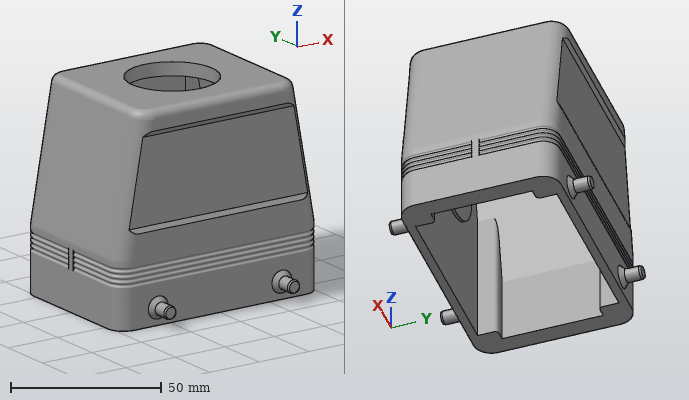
import cadquery as cq
import math

LENGTH = 82.0
WIDTH = 56.1
HEIGHT = 75.0
SHOULDER_Z = 24.3
END_TAPER = 10.0
SHOULDER_MARGIN = 0.8
SHOULDER_RADIUS = 6.0
CORNER_RADIUS = 6.4
TOP_RADIUS = 3.0
TAPER_SLOPE = math.tan(math.radians(END_TAPER))

RECESS_DEPTH = 1.0
RECESS_BOTTOM_Z = 33.4
RECESS_TOP_Z = 68.15
RECESS_RAMP = 1.7

WAVE_COUNT = 4
WAVE_PITCH = 1.8
WAVE_DEPTH = 0.5
BAND_BOTTOM_Z = 14.9
BAND_GAP = 2.7
BAND_CLEARANCE = 0.8

PIN_SPACING = 49.9
PIN_Z = 6.2
PIN_DIAMETER = 4.75
PIN_SPAN = 71.0
PIN_COLLAR = 1.6
PIN_TIP_LENGTH = 0.7
PIN_TIP_INSET = 0.3
PIN_ROOT = 0.8

ENTRY_DIAMETER = 32.15
ROOF = 4.9
SIDE_WALL = 3.0
END_WALL = 6.4
POST_INNER_X = 30.25
POST_WIDTH = 7.1
POST_RADIUS = 1.5
PAD_HALF_LENGTH = 21.8
PAD_BOTTOM_Z = 34.4
PAD_CORNER_RADIUS = 15.6

CAVITY_WIDTH = WIDTH - 2 * SIDE_WALL
CAVITY_HEIGHT = HEIGHT - ROOF

ARC_MIDDLE = 1 - math.sqrt(0.5)


def end_wall_x(base_x, z):
    """X of a leaning end wall that stands at base_x below the shoulder."""
    return base_x - (z - SHOULDER_Z) * TAPER_SLOPE


def tapered_block(half_length, width, height):
    """Block upright to the shoulder, then leaning inwards at both ends."""
    top_x = end_wall_x(half_length, height)
    outline = [
        (-half_length, 0),
        (half_length, 0),
        (half_length, SHOULDER_Z),
        (top_x, height),
        (-top_x, height),
        (-half_length, SHOULDER_Z),
    ]
    return cq.Workplane("XZ").polyline(outline).close().extrude(width / 2, both=True)


def outer_body():
    body = tapered_block(LENGTH / 2, WIDTH, HEIGHT)
    shoulder = cq.selectors.BoxSelector(
        (-LENGTH, -WIDTH, SHOULDER_Z - SHOULDER_MARGIN), (LENGTH, WIDTH, SHOULDER_Z + SHOULDER_MARGIN)
    )
    body = body.edges("|Y").edges(shoulder).fillet(SHOULDER_RADIUS)
    body = body.faces("<Y or >Y").edges("not(<Z or >Z)").fillet(CORNER_RADIUS)
    return body.faces(">Z").edges().fillet(TOP_RADIUS)


def side_recess():
    """Cutter for the recess on the -Y side, running the full length."""
    face_y = -WIDTH / 2
    floor_y = face_y + RECESS_DEPTH
    outline = [
        (face_y, RECESS_BOTTOM_Z),
        (floor_y, RECESS_BOTTOM_Z + RECESS_RAMP),
        (floor_y, RECESS_TOP_Z - RECESS_RAMP),
        (face_y, RECESS_TOP_Z),
    ]
    return cq.Workplane("YZ").polyline(outline).close().extrude(LENGTH / 2, both=True)


def grip_band():
    """Wavy cutter around the -Y half, from one end-wall gap to the other."""
    end_x = LENGTH / 2
    side_y = WIDTH / 2
    gap_y = BAND_GAP / 2
    bend = CORNER_RADIUS * ARC_MIDDLE
    path = (
        cq.Workplane("XY")
        .workplane(offset=BAND_BOTTOM_Z)
        .moveTo(-end_x, -gap_y)
        .lineTo(-end_x, CORNER_RADIUS - side_y)
        .threePointArc((bend - end_x, bend - side_y), (CORNER_RADIUS - end_x, -side_y))
        .lineTo(end_x - CORNER_RADIUS, -side_y)
        .threePointArc((end_x - bend, bend - side_y), (end_x, CORNER_RADIUS - side_y))
        .lineTo(end_x, -gap_y)
    )

    half_pitch = WAVE_PITCH / 2
    mid_x = -end_x + WAVE_DEPTH / 2
    arc_radius = (half_pitch**2 / 4 + (WAVE_DEPTH / 2) ** 2) / WAVE_DEPTH
    quarter_z = half_pitch / 4
    quarter_depth = arc_radius - math.sqrt(arc_radius**2 - quarter_z**2)
    band_top = BAND_BOTTOM_Z + WAVE_COUNT * WAVE_PITCH
    z = BAND_BOTTOM_Z + half_pitch / 2
    profile = (
        cq.Workplane("XZ", origin=(0, -gap_y, 0))
        .moveTo(-end_x - BAND_CLEARANCE, BAND_BOTTOM_Z)
        .lineTo(-end_x, BAND_BOTTOM_Z)
        .threePointArc((-end_x + quarter_depth, BAND_BOTTOM_Z + quarter_z), (mid_x, z))
    )
    for index in range(2 * WAVE_COUNT - 1):
        crest_x = -end_x if index % 2 else -end_x + WAVE_DEPTH
        profile = profile.threePointArc((crest_x, z + half_pitch / 2), (mid_x, z + half_pitch))
        z += half_pitch
    profile = (
        profile.threePointArc((-end_x + quarter_depth, band_top - quarter_z), (-end_x, band_top))
        .lineTo(-end_x - BAND_CLEARANCE, band_top)
        .close()
    )
    return profile.sweep(path)


def locking_pin():
    """Pin pointing along -Y, with a conical collar and a tapered tip."""
    radius = PIN_DIAMETER / 2
    face = WIDTH / 2
    tip = PIN_SPAN / 2
    half_section = [
        (0, PIN_ROOT - face),
        (radius + PIN_COLLAR, PIN_ROOT - face),
        (radius + PIN_COLLAR, -face),
        (radius, -face - PIN_COLLAR),
        (radius, PIN_TIP_LENGTH - tip),
        (radius - PIN_TIP_INSET, -tip),
        (0, -tip),
    ]
    pin = cq.Workplane("XY").polyline(half_section).close()
    return pin.revolve(360, (0, 0, 0), (0, 1, 0)).translate((0, 0, PIN_Z))


def side_pad():
    """Thickening of the -Y wall behind its recess, rounded at the lower corners."""
    bend = PAD_CORNER_RADIUS * ARC_MIDDLE
    pad = (
        cq.Workplane("XZ", origin=(0, -CAVITY_WIDTH / 2, 0))
        .moveTo(-PAD_HALF_LENGTH, CAVITY_HEIGHT)
        .lineTo(-PAD_HALF_LENGTH, PAD_BOTTOM_Z + PAD_CORNER_RADIUS)
        .threePointArc(
            (bend - PAD_HALF_LENGTH, PAD_BOTTOM_Z + bend),
            (PAD_CORNER_RADIUS - PAD_HALF_LENGTH, PAD_BOTTOM_Z),
        )
        .lineTo(PAD_HALF_LENGTH - PAD_CORNER_RADIUS, PAD_BOTTOM_Z)
        .threePointArc(
            (PAD_HALF_LENGTH - bend, PAD_BOTTOM_Z + bend),
            (PAD_HALF_LENGTH, PAD_BOTTOM_Z + PAD_CORNER_RADIUS),
        )
        .lineTo(PAD_HALF_LENGTH, CAVITY_HEIGHT)
        .close()
    )
    return pad.extrude(-RECESS_DEPTH)


def corner_post():
    """Upright post filling the -X, -Y corner of the cavity."""
    reach_x = LENGTH / 2 - POST_INNER_X
    post = cq.Workplane("XY").box(reach_x, POST_WIDTH, CAVITY_HEIGHT, centered=False)
    post = post.edges("|Z and >X and >Y").fillet(POST_RADIUS)
    return post.translate((-LENGTH / 2, -CAVITY_WIDTH / 2, 0))


def cavity():
    space = tapered_block(LENGTH / 2 - END_WALL, CAVITY_WIDTH, CAVITY_HEIGHT)
    post = corner_post()
    for filler in (side_pad(), post, post.mirror("YZ")):
        space = space.cut(filler).cut(filler.mirror("XZ"))
    return space


body = outer_body()
for cutter in (side_recess(), grip_band()):
    body = body.cut(cutter).cut(cutter.mirror("XZ"))
for pin_x in (-PIN_SPACING / 2, PIN_SPACING / 2):
    pin = locking_pin().translate((pin_x, 0, 0))
    body = body.union(pin).union(pin.mirror("XZ"))

entry = cq.Workplane("XY").workplane(offset=CAVITY_HEIGHT).circle(ENTRY_DIAMETER / 2).extrude(ROOF)
result = body.cut(cavity()).cut(entry)